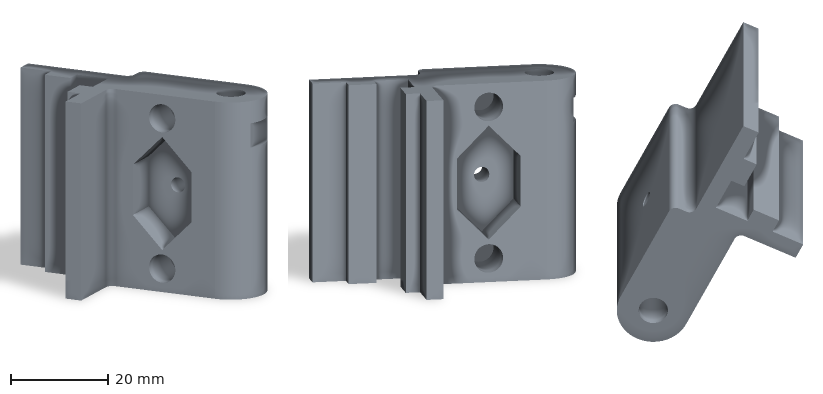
import cadquery as cq

length = 55.2
height = 42.0

arm_thickness = 3.55
arm_reach = 20.0
key_offset = 7.0
key_width = 5.8
key_depth = 3.0

block_width = 15.0
block_step = 4.75
fillet_radius = 1.5
hinge_hole_diameter = 6.0

face_center_x = 35.6
pocket_half_width = 6.7
pocket_half_height = 12.05
pocket_depth = 7.5
screw_hole_diameter = 3.2
pin_hole_diameter = 6.0
pin_hole_spacing = 32.0
pin_hole_depth = 10.0

notch_depth = 1.1
notch_height = 5.2
notch_top_gap = 4.75

outer_corner = arm_reach + arm_thickness
block_back = outer_corner + block_step
block_front = block_back - block_width
block_middle = (block_back + block_front) / 2
end_radius = block_width / 2
hinge_x = length - end_radius
middle_z = height / 2


def upright_box(x_min, x_max, y_min, y_max, z_min=0, z_max=height):
    """Box given by its limits along each axis."""
    size = (x_max - x_min, y_max - y_min, z_max - z_min)
    return cq.Workplane("XY").box(*size, centered=False).translate((x_min, y_min, z_min))


def front_face():
    """Workplane on the block's front face; negative extrusion goes into the block."""
    origin = (face_center_x, block_front, middle_z)
    return cq.Workplane(cq.Plane(origin=origin, xDir=(1, 0, 0), normal=(0, -1, 0)))


def make_body():
    """Angle bracket and round-ended block, with the joining corners filleted."""
    body = (
        cq.Workplane("XY")
        .moveTo(0, arm_reach)
        .lineTo(arm_reach, arm_reach)
        .lineTo(arm_reach, 0)
        .lineTo(outer_corner, 0)
        .lineTo(outer_corner, block_front)
        .lineTo(hinge_x, block_front)
        .threePointArc((length, block_middle), (hinge_x, block_back))
        .lineTo(outer_corner, block_back)
        .lineTo(outer_corner, outer_corner)
        .lineTo(0, outer_corner)
        .close()
        .extrude(height)
    )
    for corner_y in (block_front, outer_corner, block_back):
        corner = cq.selectors.NearestToPointSelector((outer_corner, corner_y, middle_z))
        body = body.edges("|Z").edges(corner).fillet(fillet_radius)
    return body


def add_keys(body):
    """One rectangular key along the inside face of each arm."""
    key_end = key_offset + key_width
    key_face = arm_reach - key_depth
    body = body.union(upright_box(key_offset, key_end, key_face, outer_corner))
    return body.union(upright_box(key_face, outer_corner, key_offset, key_end))


def cut_hinge_hole(body):
    hole = cq.Workplane("XY").center(hinge_x, block_middle).circle(hinge_hole_diameter / 2)
    return body.cut(hole.extrude(height))


def cut_face_features(body):
    """Pocket with 45-degree points, its through screw hole and two blind pin holes."""
    shoulder = pocket_half_height - pocket_half_width
    outline = [
        (0, pocket_half_height),
        (pocket_half_width, shoulder),
        (pocket_half_width, -shoulder),
        (0, -pocket_half_height),
        (-pocket_half_width, -shoulder),
        (-pocket_half_width, shoulder),
    ]
    pocket = front_face().polyline(outline).close().extrude(-pocket_depth)
    screw_hole = front_face().circle(screw_hole_diameter / 2).extrude(-block_width)
    pin_points = [(0, side * pin_hole_spacing / 2) for side in (-1, 1)]
    pin_holes = front_face().pushPoints(pin_points).circle(pin_hole_diameter / 2)
    return body.cut(pocket).cut(screw_hole).cut(pin_holes.extrude(-pin_hole_depth))


def cut_notch(body):
    notch_top = height - notch_top_gap
    notch = upright_box(
        length - notch_depth, length, block_front, block_back, notch_top - notch_height, notch_top
    )
    return body.cut(notch)


result = cut_notch(cut_face_features(cut_hinge_hole(add_keys(make_body()))))